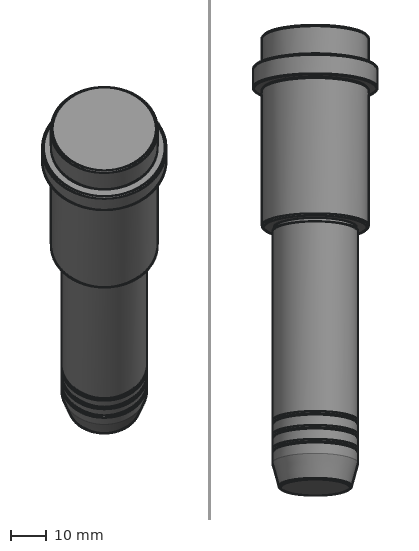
import cadquery as cq

total_length = 130.0
flange_diameter = 35.0
body_diameter = 30.0
shank_diameter = 24.0
tip_diameter = 20.3

flange_top = 121.2
flange_bottom = 115.0
body_bottom = 75.0
tip_height = 7.0

edge_chamfer = 0.5
flange_lower_chamfer = 0.3
tip_chamfer = 0.4

neck_length = 1.0
neck_depth = 0.4

ring_groove_count = 3
ring_groove_width = 1.0
ring_groove_depth = 0.5
ring_groove_pitch = 4.0
lowest_ring_groove = 10.1


def cylinder(diameter, bottom, top):
    """Cylinder on the pin axis between two heights."""
    return cq.Workplane("XY").workplane(offset=bottom).circle(diameter / 2).extrude(top - bottom)


def v_groove(bottom):
    """Ring of triangular section that cuts a V groove into the shank."""
    radius = shank_diameter / 2
    return (
        cq.Workplane("XZ")
        .moveTo(radius, bottom)
        .lineTo(radius - ring_groove_depth, bottom + ring_groove_width / 2)
        .lineTo(radius, bottom + ring_groove_width)
        .close()
        .revolve(360, (0, 0, 0), (0, 1, 0))
    )


def tapered_tip():
    """Conical lead-in with a small chamfer at its end face."""
    cone = (
        cq.Workplane("XY")
        .circle(tip_diameter / 2)
        .workplane(offset=tip_height)
        .circle(shank_diameter / 2)
        .loft(ruled=True)
    )
    return cone.faces("<Z").edges().chamfer(tip_chamfer)


head = cylinder(body_diameter, flange_top, total_length).edges("%CIRCLE").chamfer(edge_chamfer)
flange = cylinder(flange_diameter, flange_bottom, flange_top)
flange = flange.faces(">Z").edges().chamfer(edge_chamfer)
flange = flange.faces("<Z").edges().chamfer(flange_lower_chamfer)
body = cylinder(body_diameter, body_bottom, flange_bottom).edges("%CIRCLE").chamfer(edge_chamfer)
neck_bottom = body_bottom - neck_length
neck = cylinder(shank_diameter - 2 * neck_depth, neck_bottom, body_bottom)
shank = cylinder(shank_diameter, tip_height, neck_bottom)

pin = tapered_tip().union(shank).union(neck).union(body).union(flange).union(head)

for index in range(ring_groove_count):
    groove_bottom = lowest_ring_groove + index * ring_groove_pitch
    pin = pin.cut(v_groove(groove_bottom))

result = pin